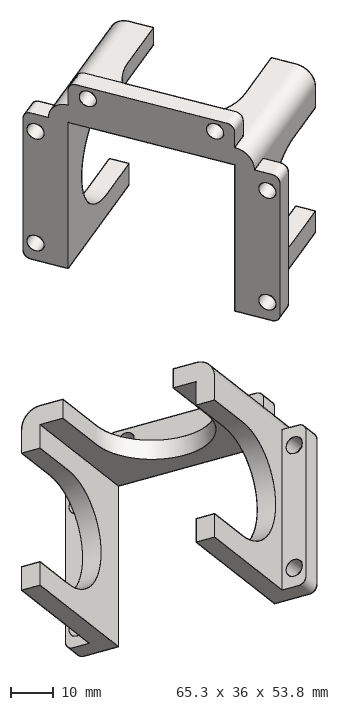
import cadquery as cq

opening = 42.3
wall = 5.0
border = 11.5
depth = 36.0
flange_thickness = 5.0
flange_corner_radius = 2.0
hole_diameter = 4.4
hole_edge_distance = 3.2
hole_spacing = 32.3
cutout_radius = 14.95
side_cutout_start = 8.0
top_cutout_start = 5.55

half_opening = opening / 2
half_width = half_opening + border
half_hood = half_opening + wall
height = opening + border
hole_offset = hole_spacing / 2
middle_z = opening / 2


def front_box(x_min, x_max, z_min, z_max, length):
    """Box that starts at the front face and runs back along +Y."""
    return cq.Workplane("XY").box(
        x_max - x_min, length, z_max - z_min, centered=False
    ).translate((x_min, 0, z_min))


def make_hood():
    """Three walls around the opening, with the upper corners rounded about the opening corners."""
    block = front_box(-half_hood, half_hood, 0, opening + wall, depth)
    return block.edges("|Y and >Z").fillet(wall)


def make_flange():
    """Mounting tabs on both sides and on top, rounded at their outer corners."""
    left = front_box(-half_width, -half_opening, 0, opening, flange_thickness)
    left = left.edges("|Y and <X").fillet(flange_corner_radius)
    right = left.mirror("YZ")
    top = front_box(-half_opening, half_opening, opening, height, flange_thickness)
    top = top.edges("|Y and >Z").fillet(flange_corner_radius)
    return left.union(right).union(top)


def make_holes():
    """Two through holes in each mounting tab."""
    side_x = half_width - hole_edge_distance
    top_z = height - hole_edge_distance
    centres = []
    for sign in (-1, 1):
        centres.append((sign * hole_offset, top_z))
        for side in (-1, 1):
            centres.append((side * side_x, middle_z + sign * hole_offset))
    return cq.Workplane("XZ").pushPoints(centres).circle(hole_diameter / 2).extrude(-flange_thickness)


def cutout_profile(plane, start):
    """U-shaped outline with a round front end, open at the back."""
    centre_y = start + cutout_radius
    return (
        plane.moveTo(-cutout_radius, depth)
        .lineTo(-cutout_radius, centre_y)
        .threePointArc((0, start), (cutout_radius, centre_y))
        .lineTo(cutout_radius, depth)
        .close()
    )


def make_side_cutout():
    """Cutter through both side walls, centred on the opening height."""
    plane = cq.Workplane(cq.Plane(origin=(0, 0, middle_z), xDir=(0, 0, -1), normal=(1, 0, 0)))
    return cutout_profile(plane, side_cutout_start).extrude(half_hood, both=True)


def make_top_cutout():
    """Cutter through the top wall."""
    plane = cq.Workplane("XY").workplane(offset=opening)
    return cutout_profile(plane, top_cutout_start).extrude(wall)


opening_cutter = front_box(-half_opening, half_opening, 0, opening, depth)

result = (
    make_hood()
    .union(make_flange())
    .cut(opening_cutter)
    .cut(make_side_cutout())
    .cut(make_top_cutout())
    .cut(make_holes())
)